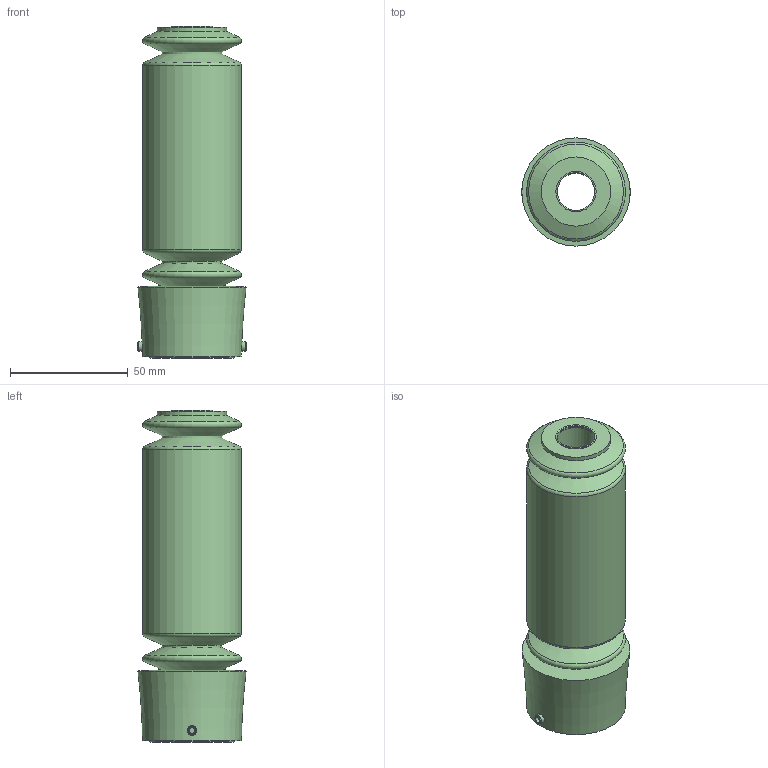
import cadquery as cq
import math

total_height = 141.14
lip_height = 0.57
lip_width = 0.57
cap_height = 29.6
collar_height = 1.75

bore_radius = 8.0
collar_radius = 14.7
neck_radius = 12.7
body_radius = 21.0
cap_top_radius = 23.0
cap_mid_radius = 21.65
cap_bottom_radius = 21.0

cone_angle = math.radians(25)
rim_round = 1.5
neck_half_width = 0.45

crown_angle = math.radians(3)
socket_radius = 17.5
socket_floor = cap_bottom_radius - socket_radius

pin_radius = 2.0
pin_span = 46.1
pin_rise = 4.3
pin_chamfer = 0.4
pin_hole_radius = 1.2
pin_hole_depth = 2.0

rim_centre_radius = body_radius - rim_round
tangent_radius = rim_centre_radius + rim_round * math.sin(cone_angle)
tangent_rise = rim_round * math.cos(cone_angle)
arc_mid_radius = rim_centre_radius + rim_round * math.cos(math.pi / 4)
arc_mid_rise = rim_round * math.sin(math.pi / 4)


def cone_rise(radius):
    """Height of the sloping cone above the rim centre at a given radius."""
    return tangent_rise + (tangent_radius - radius) * math.tan(cone_angle)


cap_bottom_z = lip_height
cap_top_z = cap_bottom_z + cap_height
crown_z = cap_top_z + (cap_top_radius - neck_radius) * math.tan(crown_angle)
collar_top_z = total_height - lip_height
collar_base_z = collar_top_z - collar_height
rim_to_neck = cone_rise(neck_radius) + neck_half_width
lower_rib_z = cap_top_z + rim_to_neck
lower_neck_z = lower_rib_z + rim_to_neck
body_bottom_z = lower_neck_z + rim_to_neck
upper_rib_z = collar_base_z - cone_rise(collar_radius)
upper_neck_z = upper_rib_z - rim_to_neck
body_top_z = upper_neck_z - rim_to_neck
socket_top_z = cap_top_z - socket_floor


def add_rib(outline, rib_z):
    """Continue up a cone and around the rounded edge of a rib."""
    outline = outline.lineTo(tangent_radius, rib_z - tangent_rise)
    return outline.threePointArc((body_radius, rib_z), (tangent_radius, rib_z + tangent_rise))


def add_body_wall(outline):
    """Continue up a cone, along the body wall and around its upper edge."""
    lower_mid = (arc_mid_radius, body_bottom_z - arc_mid_rise)
    upper_mid = (arc_mid_radius, body_top_z + arc_mid_rise)
    outline = outline.lineTo(tangent_radius, body_bottom_z - tangent_rise)
    outline = outline.threePointArc(lower_mid, (body_radius, body_bottom_z))
    outline = outline.lineTo(body_radius, body_top_z)
    return outline.threePointArc(upper_mid, (tangent_radius, body_top_z + tangent_rise))


def add_neck(outline, neck_z):
    """Continue down a cone and up the short cylinder of a neck."""
    outline = outline.lineTo(neck_radius, neck_z - neck_half_width)
    return outline.lineTo(neck_radius, neck_z + neck_half_width)


def turn(outline):
    """Turn a closed half outline about the Z axis."""
    return outline.close().revolve(360, (0, 0, 0), (0, 1, 0))


def make_insulator():
    """Collar, two ribs and the long body, turned from one outline."""
    outline = cq.Workplane("XZ").moveTo(0, socket_top_z).lineTo(neck_radius, socket_top_z)
    outline = outline.lineTo(neck_radius, cap_top_z + neck_half_width)
    outline = add_rib(outline, lower_rib_z)
    outline = add_neck(outline, lower_neck_z)
    outline = add_body_wall(outline)
    outline = add_neck(outline, upper_neck_z)
    outline = add_rib(outline, upper_rib_z)
    outline = outline.lineTo(collar_radius, collar_base_z)
    outline = outline.lineTo(collar_radius, collar_top_z)
    outline = outline.lineTo(0, collar_top_z)
    return turn(outline)


def make_cap():
    """Cap whose wall flares out on a slightly hollow arc, under a sloping crown."""
    outline = cq.Workplane("XZ").moveTo(0, cap_bottom_z).lineTo(cap_bottom_radius, cap_bottom_z)
    wall_mid = (cap_mid_radius, cap_bottom_z + cap_height / 2)
    outline = outline.threePointArc(wall_mid, (cap_top_radius, cap_top_z))
    outline = outline.lineTo(neck_radius, crown_z).lineTo(0, crown_z)
    return turn(outline)


def make_cylinder(radius, bottom_z, top_z):
    """Upright cylinder between two heights."""
    return cq.Workplane("XY", origin=(0, 0, bottom_z)).circle(radius).extrude(top_z - bottom_z)


def make_lip(inner_radius, base_z, direction):
    """Round-topped ring around an opening; direction is 1 upwards, -1 downwards."""
    outer_radius = inner_radius + lip_width
    crest_radius = inner_radius + lip_width / 2
    crest_z = base_z + direction * lip_height
    shoulder_z = crest_z - direction * lip_width / 2
    root_z = base_z - direction * lip_height
    outline = cq.Workplane("XZ").moveTo(inner_radius, root_z).lineTo(inner_radius, shoulder_z)
    outline = outline.threePointArc((crest_radius, crest_z), (outer_radius, shoulder_z))
    return turn(outline.lineTo(outer_radius, root_z))


def make_pin(side):
    """Chamfered pin with a blind hole, standing out along X; side is -1 or 1."""
    pin_z = cap_bottom_z + pin_rise
    wall_x = (cap_bottom_radius + socket_radius) / 2
    pin = cq.Workplane("YZ", origin=(wall_x, 0, pin_z)).circle(pin_radius).extrude(pin_span / 2 - wall_x)
    pin = pin.faces(">X").chamfer(pin_chamfer)
    pin = pin.faces(">X").workplane().hole(2 * pin_hole_radius, pin_hole_depth)
    return pin if side > 0 else pin.mirror("YZ")


result = make_insulator().union(make_cap())

result = result.cut(make_cylinder(bore_radius, 0, total_height))
result = result.cut(make_cylinder(socket_radius, 0, socket_top_z))
result = result.union(make_lip(bore_radius, collar_top_z, 1))
result = result.union(make_lip(socket_radius, cap_bottom_z, -1))

for pin_side in (-1, 1):
    result = result.union(make_pin(pin_side))